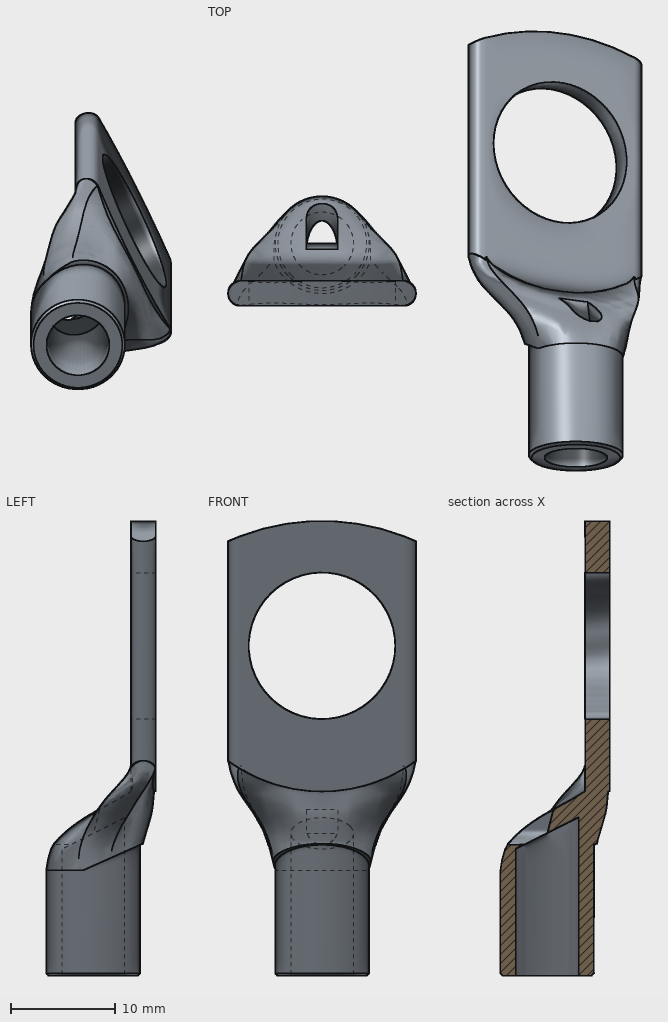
import cadquery as cq


barrel_radius = 9.0 / 2
bore_radius = 6.0 / 2
mouth_chamfer = 0.25

total_height = 43.56
palm_width = 18.0
palm_half_width = palm_width / 2
palm_thickness = 2.4
palm_front_y = -6.0
palm_back_y = palm_front_y + palm_thickness
palm_flat_half_width = palm_half_width - palm_thickness / 2
palm_mid_y = (palm_front_y + palm_back_y) / 2
palm_bottom_z = 17.65
palm_lower_corner_z = 20.6
palm_upper_corner_z = 41.6
stud_hole_diameter = 14.0
stud_hole_z = 31.6

neck_start_z = 10.1
neck_sections = [
    (neck_start_z, -barrel_radius, (4.24, -1.5), (barrel_radius, 0), (4.27, 1.42), barrel_radius),
    (11.2, -4.6, (4.6, -1.6), (4.75, -0.1), (4.6, 1.4), 4.33),
    (12.5, -4.75, (4.95, -1.9), (5.1, -0.3), (4.95, 1.2), 3.85),
    (14.5, -5.3, (5.75, -2.8), (5.9, -1.2), (5.75, 0.4), 1.85),
    (16.5, -5.75, (7.05, -4.0), (7.2, -2.5), (6.9, -0.85), -1.6),
    (18.5, -5.95, (8.0, -5.3), (8.4, -4.1), (7.6, -2.6), -4.6),
    (
        palm_lower_corner_z,
        palm_front_y,
        (palm_flat_half_width, palm_front_y),
        (palm_half_width, palm_mid_y),
        (palm_flat_half_width, palm_back_y),
        palm_back_y - palm_thickness / 2,
    ),
]

underside_start_y = 1.0
underside_angle = 24.0

slot_width = 3.0
slot_bottom_z = 12.6
slot_end_bottom_y = 0.25
slot_end_top_y = -0.6
slot_end_top_z = 16.0

bore_end_y = 2.14
bore_end_z = 12.6
bore_end_angle = 26.6

clearance = 10.0


def half_space(y, z, angle, upward):
    """Large block whose face passes through (y, z) and rises toward -Y by the given angle."""
    height = total_height if upward else -total_height
    return (
        cq.Workplane("XY")
        .rect(total_height, 2 * total_height)
        .extrude(height)
        .rotate((0, 0, 0), (1, 0, 0), -angle)
        .translate((0, y, z))
    )


def palm_outline(depth):
    """Palm profile with arched ends, from the palm's back face toward -Y."""
    return (
        cq.Workplane("XZ", origin=(0, palm_back_y, 0))
        .moveTo(-palm_half_width, palm_lower_corner_z)
        .threePointArc((0, palm_bottom_z), (palm_half_width, palm_lower_corner_z))
        .lineTo(palm_half_width, palm_upper_corner_z)
        .threePointArc((0, total_height), (-palm_half_width, palm_upper_corner_z))
        .close()
        .extrude(depth)
    )


def make_palm():
    """Strip with fully rounded sides, trimmed to the arched outline and pierced for the stud."""
    strip = (
        cq.Workplane("XY")
        .center(0, palm_mid_y)
        .slot2D(palm_width, palm_thickness)
        .extrude(total_height)
    )
    stud_hole = (
        cq.Workplane("XZ", origin=(0, palm_back_y, 0))
        .center(0, stud_hole_z)
        .circle(stud_hole_diameter / 2)
        .extrude(palm_thickness)
    )
    return strip.intersect(palm_outline(palm_thickness)).cut(stud_hole)


def neck_section(z, front_y, front_corner, side, back_corner, back_y):
    """Closed section wire; the front is straight where its corners lie level with its middle."""

    def mirrored(point):
        return (-point[0], point[1])

    start = cq.Workplane("XY", origin=(0, 0, z)).moveTo(*mirrored(front_corner))
    if front_corner[1] == front_y:
        front = start.lineTo(*front_corner)
    else:
        front = start.threePointArc((0, front_y), front_corner)
    outline = (
        front
        .threePointArc(side, back_corner)
        .threePointArc((0, back_y), mirrored(back_corner))
        .threePointArc(mirrored(side), mirrored(front_corner))
        .close()
    )
    return outline.val()


def make_neck():
    """Loft from the round barrel to the flat palm, with hollow back and sloping underside."""
    wires = [neck_section(*section) for section in neck_sections]
    neck = cq.Workplane(cq.Solid.makeLoft(wires))
    underside = half_space(underside_start_y, neck_start_z, underside_angle, upward=False)
    return neck.cut(underside).cut(palm_outline(clearance))


def make_barrel():
    """Round barrel reaching up inside the neck as far as its sloping underside."""
    barrel = (
        cq.Workplane("XY")
        .circle(barrel_radius)
        .extrude(palm_bottom_z)
        .faces("<Z")
        .chamfer(mouth_chamfer)
    )
    above_underside = half_space(underside_start_y, neck_start_z, underside_angle, upward=True)
    above_neck_start = (
        cq.Workplane("XY", origin=(0, 0, neck_start_z))
        .rect(palm_width, palm_width)
        .extrude(total_height)
    )
    return barrel.cut(above_underside.intersect(above_neck_start))


def make_bore():
    """Wire bore, open at the bottom and closed by a sloping end inside the neck."""
    above_end = half_space(bore_end_y, bore_end_z, bore_end_angle, upward=True)
    return cq.Workplane("XY").circle(bore_radius).extrude(total_height).cut(above_end)


def make_slot():
    """Inspection slot: round floor, open toward the back and top, sloping end wall."""
    radius = slot_width / 2
    floor_center_z = slot_bottom_z + radius
    slot = (
        cq.Workplane("XZ", origin=(0, -clearance, 0))
        .moveTo(-radius, total_height)
        .lineTo(-radius, floor_center_z)
        .threePointArc((0, slot_bottom_z), (radius, floor_center_z))
        .lineTo(radius, total_height)
        .close()
        .extrude(-2 * clearance)
    )
    profile = (
        cq.Workplane("YZ")
        .moveTo(slot_end_bottom_y, slot_bottom_z)
        .lineTo(slot_end_top_y, slot_end_top_z)
        .lineTo(clearance, slot_end_top_z + clearance)
        .lineTo(clearance, slot_bottom_z)
        .close()
        .extrude(slot_width, both=True)
    )
    return slot.intersect(profile)


body = make_barrel().union(make_neck()).union(make_palm())
result = body.cut(make_bore()).cut(make_slot())